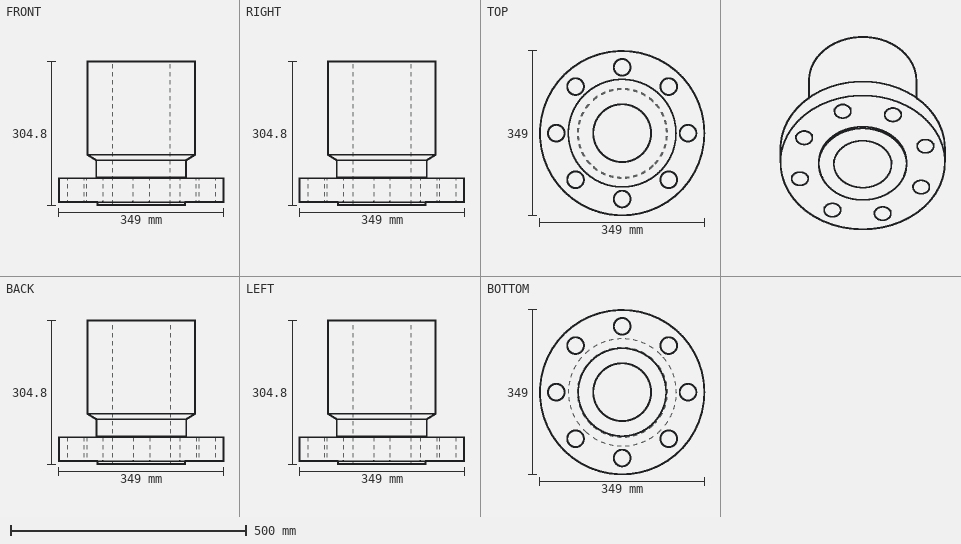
import cadquery as cq

flange_diameter = 349.0
flange_thickness = 51.0

raised_face_diameter = 186.5
raised_face_height = 6.3

neck_diameter = 191.0
neck_height = 37.7
neck_base_chamfer = 1.5
shoulder_height = 11.0
sleeve_diameter = 228.5
overall_height = 304.8

bore_diameter = 122.2
bolt_count = 8
bolt_circle_diameter = 279.3
bolt_hole_diameter = 35.0

flange_bottom = raised_face_height
flange_top = flange_bottom + flange_thickness
neck_top = flange_top + neck_height
sleeve_bottom = neck_top + shoulder_height


def revolved_body():
    """Solid of revolution holding every outer step and the bore."""
    bore_radius = bore_diameter / 2
    face_radius = raised_face_diameter / 2
    flange_radius = flange_diameter / 2
    neck_radius = neck_diameter / 2
    sleeve_radius = sleeve_diameter / 2
    profile = [
        (bore_radius, 0),
        (face_radius, 0),
        (face_radius, flange_bottom),
        (flange_radius, flange_bottom),
        (flange_radius, flange_top),
        (neck_radius - neck_base_chamfer, flange_top),
        (neck_radius, flange_top + neck_base_chamfer),
        (neck_radius, neck_top),
        (sleeve_radius, sleeve_bottom),
        (sleeve_radius, overall_height),
        (bore_radius, overall_height),
    ]
    return cq.Workplane("XZ").polyline(profile).close().revolve(360, (0, 0, 0), (0, 1, 0))


def bolt_holes():
    """Cylinders that cut the evenly spaced holes through the flange."""
    return (
        cq.Workplane("XY")
        .workplane(offset=flange_bottom)
        .polarArray(bolt_circle_diameter / 2, 0, 360, bolt_count)
        .circle(bolt_hole_diameter / 2)
        .extrude(flange_thickness)
    )


result = revolved_body().cut(bolt_holes())